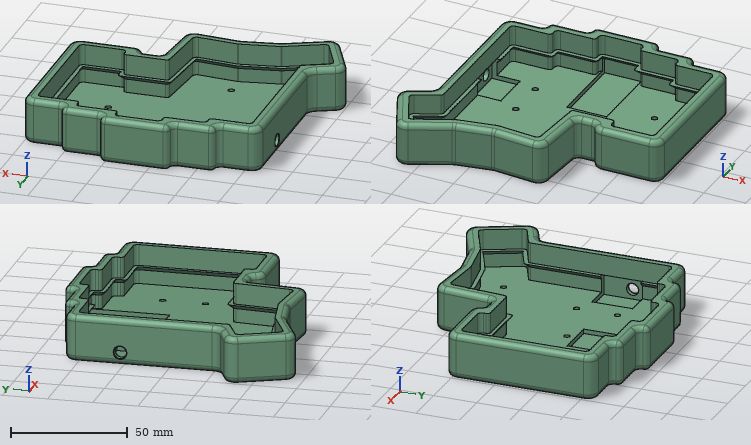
import cadquery as cq
import math

pitch = 19.0
stagger = pitch / 4
rows_top = 3 * pitch

case_height = 20.6
floor_thickness = 3.0
lip_top = 11.2

clearance = 1.0
lip_width = 2 * clearance
lip_bottom = lip_top - lip_width
wall_thickness = 5.0
outer_offset = clearance + wall_thickness

large_corner = wall_thickness
small_corner = 2.5
cavity_corner = 2.0
inner_corner = 1.5
lip_corner = 0.1
edge_fillet = 2.5

thumb_start = (-4.8, -32.9)
thumb_sides = [(19.5, 25), (19.1, 10), (19.6, -5)]

tolerance = 0.0001

screw_diameter = 2.6
screw_points = [
    (pitch, pitch + stagger / 2),
    (pitch, 2 * pitch + stagger / 2),
    (4 * pitch, pitch + stagger / 2),
    (4 * pitch, 2 * pitch + stagger / 2),
    (2.5 * pitch, 1.5 * pitch),
    (10.0, -16.1),
    (31.5, -12.4),
]

pocket_floor = 1.0
controller_front = 32.5
controller_undercut = 1.9

jack_undercut = 2.4
jack_front = 24.9
jack_back = 43.8
jack_right = 10.1
jack_hole_diameter = 5.5
jack_hole_chamfer = 0.2
jack_hole_y = 38.3
jack_hole_z = 5.5


def step_from(point, length, heading):
    """Return the point reached from `point` along a heading in degrees."""
    angle = math.radians(heading)
    return (point[0] + length * math.cos(angle), point[1] + length * math.sin(angle))


def grid_corners():
    """Return the sharp key grid outline, counterclockwise, as (x, y, outer corner radius)."""
    thumb = [thumb_start]
    for length, heading in thumb_sides:
        thumb.append(step_from(thumb[-1], length, heading))
    first_heading = thumb_sides[0][1]
    last_heading = thumb_sides[-1][1]

    rise = stagger - thumb[-1][1]
    thumb_right_top = thumb[-1][0] - rise * math.tan(math.radians(last_heading))
    thumb_left = step_from(thumb_start, pitch, first_heading + 90)
    thumb_left_top = thumb_left[1] - thumb_left[0] * math.tan(math.radians(first_heading))

    corners = [(x, y, large_corner) for x, y in thumb]
    corners += [
        (thumb_right_top, stagger, small_corner),
        (4 * pitch, stagger, small_corner),
        (4 * pitch, 0, large_corner),
        (5 * pitch, 0, large_corner),
        (5 * pitch, rows_top, large_corner),
        (4 * pitch, rows_top, small_corner),
        (4 * pitch, rows_top + stagger, small_corner),
        (3 * pitch, rows_top + stagger, small_corner),
        (3 * pitch, rows_top + 2 * stagger, small_corner),
        (2 * pitch, rows_top + 2 * stagger, small_corner),
        (2 * pitch, rows_top + stagger, small_corner),
        (pitch, rows_top + stagger, small_corner),
        (pitch, rows_top, small_corner),
        (0, rows_top, large_corner),
        (0, thumb_left_top, large_corner),
        (*thumb_left, large_corner),
    ]
    return corners


def direction(start, end):
    """Return the unit vector from one point to another."""
    length = math.dist(start[:2], end[:2])
    return ((end[0] - start[0]) / length, (end[1] - start[1]) / length)


def turn_at(corners, index):
    """Return the directions into and out of a corner and its turn angle, negative if it is inward."""
    corner = corners[index]
    into = direction(corners[index - 1], corner)
    out = direction(corner, corners[(index + 1) % len(corners)])
    cross = into[0] * out[1] - into[1] * out[0]
    dot = into[0] * out[0] + into[1] * out[1]
    return into, out, math.atan2(cross, dot)


def offset_corners(corners, distance):
    """Move every side of a counterclockwise outline outwards, keeping the corners sharp."""
    moved = []
    for index, (x, y, radius) in enumerate(corners):
        into, out, turn = turn_at(corners, index)
        scale = distance / (1 + math.cos(turn))
        moved.append((x + scale * (into[1] + out[1]), y - scale * (into[0] + out[0]), radius))
    return moved


def lean_risers(corners):
    """Lean each upright step that is too short for its two corner arcs, so that they just touch."""
    leaned = list(corners)
    for index, (x, y, radius) in enumerate(corners):
        into, out, turn = turn_at(corners, index)
        if turn > 0:
            continue
        before = corners[index - 1]
        after = corners[(index + 1) % len(corners)]
        for neighbour, slide in ((before, out[0]), (after, -into[0])):
            upright = abs(neighbour[0] - x) < tolerance
            rise = abs(neighbour[1] - y)
            radii = radius + neighbour[2]
            if upright and rise < radii:
                slope = math.acos(1 - rise / radii)
                leaned[index] = (x + slide * rise / math.tan(slope), y, radius)
    return leaned


def corner_arc(corners, index):
    """Return the start, middle and end of the arc that rounds a corner."""
    x, y, radius = corners[index]
    into, out, turn = turn_at(corners, index)
    reach = radius * math.tan(abs(turn) / 2)
    start = (x - reach * into[0], y - reach * into[1])
    end = (x + reach * out[0], y + reach * out[1])
    gap = radius / math.cos(turn / 2) - radius
    toward_center = direction(into, out)
    middle = (x + gap * toward_center[0], y + gap * toward_center[1])
    return start, middle, end


def rounded_outline(corners, height):
    """Draw a closed outline with rounded corners at a height."""
    arcs = [corner_arc(corners, index) for index in range(len(corners))]
    position = arcs[-1][2]
    outline = cq.Workplane("XY", origin=(0, 0, height)).moveTo(*position)
    for start, middle, end in arcs:
        if math.dist(position, start) > tolerance:
            outline = outline.lineTo(*start)
        outline = outline.threePointArc(middle, end)
        position = end
    return outline.close()


def rounded_prism(corners, bottom, top):
    """Extrude an outline with rounded corners between two heights."""
    return rounded_outline(corners, bottom).extrude(top - bottom)


def box(x_range, y_range, z_range):
    """Return a box spanning the given (low, high) ranges."""
    size = [high - low for low, high in (x_range, y_range, z_range)]
    corner = (x_range[0], y_range[0], z_range[0])
    return cq.Workplane("XY").box(*size, centered=False).translate(corner)


def case_body(grid):
    """Return the solid outer block with rounded top and bottom edges."""
    outline = lean_risers(offset_corners(grid, outer_offset))
    return rounded_prism(outline, 0, case_height).faces("<Z or >Z").edges().fillet(edge_fillet)


def cavity_corners(grid, offset, outward_radius):
    """Return the grid outline offset for the cavity, with its own corner radii."""
    rounded = []
    for index, (x, y, _) in enumerate(grid):
        turn = turn_at(grid, index)[2]
        rounded.append((x, y, outward_radius if turn > 0 else inner_corner))
    return offset_corners(rounded, offset)


def cavity(grid):
    """Return the open cavity, narrowed at mid height by a lip with a 45 degree underside."""
    wall = cavity_corners(grid, clearance, cavity_corner)
    lip = cavity_corners(grid, clearance - lip_width, lip_corner)
    upper = rounded_prism(wall, lip_top, case_height)
    lower = rounded_prism(wall, floor_thickness, lip_bottom)
    wires = [rounded_outline(wall, lip_bottom).val(), rounded_outline(lip, lip_top).val()]
    taper = cq.Workplane(cq.Solid.makeLoft(wires, True))
    return upper, lower, taper


def controller_pocket():
    """Return the floor pocket under the middle column, reaching into the rear wall."""
    back = rows_top + 2 * stagger + clearance + controller_undercut
    return box((2 * pitch, 3 * pitch), (controller_front, back), (pocket_floor, lip_bottom))


def jack_pocket():
    """Return the pocket beside the left wall, which also interrupts the lip."""
    left = -clearance - jack_undercut
    return box((left, jack_right), (jack_front, jack_back), (pocket_floor, lip_top))


def jack_hole():
    """Return the hole from the left face into the jack pocket, with a small outer chamfer."""
    radius = jack_hole_diameter / 2
    left_face = cq.Workplane("YZ", origin=(-outer_offset, jack_hole_y, jack_hole_z))
    bore = left_face.circle(radius).extrude(outer_offset)
    mouth = cq.Solid.makeCone(
        radius + jack_hole_chamfer,
        radius,
        jack_hole_chamfer,
        cq.Vector(-outer_offset, jack_hole_y, jack_hole_z),
        cq.Vector(1, 0, 0),
    )
    return bore.union(cq.Workplane(mouth))


def screw_holes():
    """Return the screw holes through the floor."""
    floor = cq.Workplane("XY").pushPoints(screw_points)
    return floor.circle(screw_diameter / 2).extrude(lip_top)


grid = grid_corners()
result = case_body(grid)
for cutter in (*cavity(grid), controller_pocket(), jack_pocket(), jack_hole(), screw_holes()):
    result = result.cut(cutter)